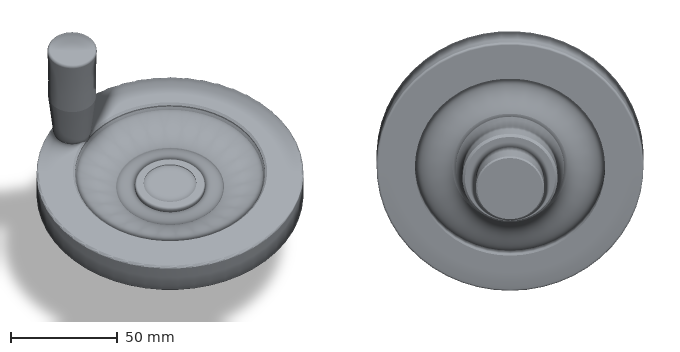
import cadquery as cq
import math

rim_radius = 62.5
rim_height = 15.9
rim_round = 1.0

dish_mouth_radius = 45.5
dish_wall_radius = 89.0 / 2
dish_mouth_chamfer = dish_mouth_radius - dish_wall_radius
dish_wall_depth = 1.9
dish_cone_depth = 3.0
dish_cone_radius = 43.5
dish_floor_radius = 25.3
dish_floor_step_radius = 24.9
dish_floor_step = 0.4
dish_depth = 10.2
dish_cone_drop = dish_depth - dish_floor_step - dish_cone_depth
dish_slope = dish_cone_drop / (dish_cone_radius - dish_floor_radius)
dish_angle = math.atan(dish_slope)

hub_radius = 22.2
hub_length = 15.0
hub_fillet = 4.8
hub_fillet_drop = 5.1
hub_chamfer = 1.1
bushing_radius = 16.0
bushing_length = 12.5
bushing_chamfer = 0.6

fillet_end_radius = hub_radius + hub_fillet * (1 - math.sin(dish_angle))
fillet_start_z = -rim_height - hub_fillet_drop
fillet_end_z = fillet_start_z + hub_fillet * math.cos(dish_angle)
web_underside_top = fillet_end_z + dish_slope * (dish_wall_radius - fillet_end_radius)

cap_radius = 16.4
cap_height = 2.5
cap_round = 1.3
groove_radius = 16.6
groove_depth = 0.3
recess_radius = 12.3
recess_depth = 0.6

handle_x = -53.0
handle_height = 55.2
handle_top_radius = 11.5
handle_waist_radius = 11.2
handle_waist_height = 38.1
handle_seam_radius = 11.3
handle_seam_height = 24.3
handle_foot_radius = 9.0
handle_foot_height = 1.1
handle_neck_radius = 8.6
handle_top_round = 1.5


def cylinder(radius, bottom, height):
    return cq.Workplane("XY").workplane(offset=bottom).circle(radius).extrude(height)


def make_rim():
    rim = cylinder(rim_radius, -rim_height, rim_height).edges().fillet(rim_round)
    dish = (
        cq.Workplane("XZ")
        .moveTo(0, 0)
        .lineTo(dish_mouth_radius, 0)
        .lineTo(dish_wall_radius, -dish_mouth_chamfer)
        .lineTo(dish_wall_radius, -dish_wall_depth)
        .lineTo(dish_cone_radius, -dish_cone_depth)
        .lineTo(dish_floor_radius, -dish_depth + dish_floor_step)
        .lineTo(dish_floor_step_radius, -dish_depth)
        .lineTo(0, -dish_depth)
        .close()
        .revolve(360, (0, 0, 0), (0, 1, 0))
    )
    web_bottom_at_axis = fillet_end_z - dish_slope * fillet_end_radius
    hollow = (
        cq.Workplane("XZ")
        .moveTo(0, web_bottom_at_axis)
        .lineTo(dish_wall_radius, web_underside_top)
        .lineTo(dish_wall_radius, web_bottom_at_axis)
        .close()
        .revolve(360, (0, 0, 0), (0, 1, 0))
    )
    return rim.cut(dish).cut(hollow)


def make_hub():
    """Hub flaring into the rim underside, with the bushing below it."""
    hub_bottom = -rim_height - hub_length
    bushing_bottom = hub_bottom - bushing_length
    hub_top = -(dish_depth + rim_height) / 2
    return (
        cq.Workplane("XZ")
        .moveTo(0, hub_top)
        .lineTo(fillet_end_radius, hub_top)
        .lineTo(fillet_end_radius, fillet_end_z)
        .radiusArc((hub_radius, fillet_start_z), -hub_fillet)
        .lineTo(hub_radius, hub_bottom + hub_chamfer)
        .lineTo(hub_radius - hub_chamfer, hub_bottom)
        .lineTo(bushing_radius, hub_bottom)
        .lineTo(bushing_radius, bushing_bottom + bushing_chamfer)
        .lineTo(bushing_radius - bushing_chamfer, bushing_bottom)
        .lineTo(0, bushing_bottom)
        .close()
        .revolve(360, (0, 0, 0), (0, 1, 0))
    )


def make_cap():
    cap_bottom = -dish_depth - groove_depth
    cap = cylinder(cap_radius, cap_bottom, cap_height + groove_depth)
    cap = cap.faces(">Z").edges().fillet(cap_round)
    recess = cylinder(recess_radius, -dish_depth + cap_height - recess_depth, recess_depth)
    return cap.cut(recess)


def make_handle():
    """Grip with a slightly hollow upper side, a tapered lower part and a short neck."""
    return (
        cq.Workplane("XZ", origin=(handle_x, 0, 0))
        .moveTo(0, -rim_height / 2)
        .lineTo(handle_neck_radius, -rim_height / 2)
        .lineTo(handle_neck_radius, handle_foot_height)
        .lineTo(handle_foot_radius, handle_foot_height)
        .lineTo(handle_seam_radius, handle_seam_height)
        .threePointArc(
            (handle_waist_radius, handle_waist_height),
            (handle_top_radius, handle_height - handle_top_round),
        )
        .radiusArc((handle_top_radius - handle_top_round, handle_height), -handle_top_round)
        .lineTo(0, handle_height)
        .close()
        .revolve(360, (0, 0, 0), (0, 1, 0))
    )


wheel = make_rim().union(make_hub())
groove = cylinder(groove_radius, -dish_depth - groove_depth, groove_depth)
result = wheel.cut(groove).union(make_cap()).union(make_handle())